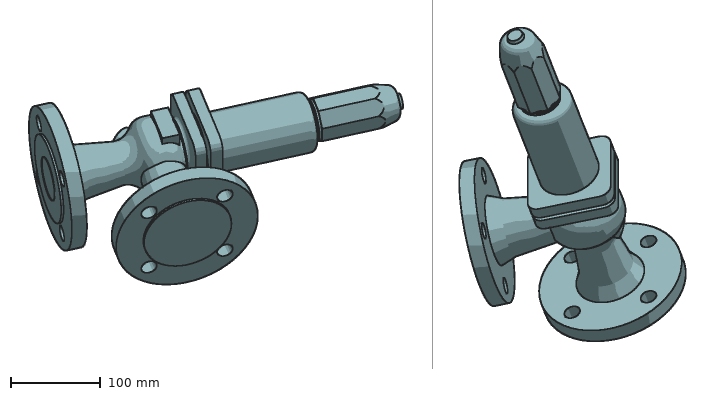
import cadquery as cq
import math


FACE_DISTANCE = 125.0
FLANGE_RADIUS = 82.5
FLANGE_THICKNESS = 17.5
RAISED_FACE_RADIUS = 51.0
RAISED_FACE_HEIGHT = 3.0
BOLT_CIRCLE_RADIUS = 62.5
BOLT_HOLE_DIAMETER = 18.0
BOLT_COUNT = 4
FLANGE_BACK = FACE_DISTANCE - RAISED_FACE_HEIGHT - FLANGE_THICKNESS
INLET_RECESS_RADIUS = 25.0
INLET_RECESS_DEPTH = 1.0

INLET_HUB_RADIUS = 39.5
INLET_PIPE_END_Y = -87.0
INLET_PIPE_END_RADIUS = 31.2
INLET_THROAT_Y = -42.7
INLET_THROAT_RADIUS = 25.0

BODY_RADIUS = 45.0
BODY_LOW_Y = -21.5
BODY_LOW_RADIUS = 36.0
BODY_BAND_LOW_Y = -4.5
BODY_BAND_HIGH_Y = 5.5
BODY_HIGH_Y = 21.8
BODY_HIGH_RADIUS = 38.0
NECK_RADIUS = 35.7
NECK_FLARE_RADIUS = 5.0
NECK_GROOVE_DEPTH = 1.2
NECK_GROOVE_WIDTH = 1.2

OUTLET_HUB_RADIUS = 40.0
OUTLET_PIPE_END_X = 87.0
OUTLET_PIPE_END_RADIUS = 33.3
OUTLET_ROOT_RADIUS = 21.8

PLATE_WIDTH = 96.0
PLATE_CORNER_RADIUS = 13.0
LOWER_PLATE_Y = 32.5
LOWER_PLATE_THICKNESS = 13.0
UPPER_PLATE_Y = 50.0
UPPER_PLATE_THICKNESS = 14.0
JOINT_RADIUS = 38.0
JOINT_RIM_RADIUS = 42.0

BONNET_RADIUS = 34.5
BONNET_TOP_Y = 180.5
BONNET_EDGE_RADIUS = 8.0

CAP_ACROSS_FLATS = 49.0
CAP_SIDES = 8
CAP_NECK_RADIUS = 23.0
CAP_GROOVE_RADIUS = 20.5
CAP_GROOVE_Y = 182.8
CAP_COLLAR_RADIUS = 23.5
CAP_COLLAR_Y = 184.0
CAP_BASE_Y = 187.0
CAP_FLAT_TOP_Y = 260.8
CAP_SHOULDER_Y = 274.5
CAP_SHOULDER_RADIUS = 21.0
CAP_TOP_Y = 281.7
CAP_TOP_RADIUS = 11.5
BUTTON_TOP_Y = 286.0
BUTTON_RADIUS = 10.0
BUTTON_TOP_RADIUS = 8.5

PAD_LENGTH = 43.5
PAD_LOW_Y = 1.5
PAD_HIGH_Y = 21.8
PAD_TOP_Z = 49.0

DRAIN_RADIUS = 15.5
DRAIN_TILT = 32
DRAIN_FACE_X = -33.5
DRAIN_FACE_Y = -29.5
DRAIN_LENGTH = 28.7


def disc_y(radius, start_y, end_y):
    """Round disc on the Y axis between two Y positions."""
    plane = cq.Workplane("XZ", origin=(0, start_y, 0))
    return plane.circle(radius).extrude(start_y - end_y)


def spin_about_y(profile):
    """Full revolution of an XY profile about the Y axis."""
    return profile.close().revolve(360, (0, 0, 0), (0, 1, 0))


def tangent_arc_middle(vertical_end, other_end):
    """Middle of the arc through both ends that runs parallel to Y at vertical_end."""
    dx = other_end[0] - vertical_end[0]
    dy = other_end[1] - vertical_end[1]
    center_x = vertical_end[0] + (dx**2 + dy**2) / (2 * dx)
    start = math.atan2(0, vertical_end[0] - center_x)
    end = math.atan2(dy, other_end[0] - center_x)
    sweep = math.remainder(end - start, 2 * math.pi)
    radius = abs(vertical_end[0] - center_x)
    middle = start + sweep / 2
    return (center_x + radius * math.cos(middle), vertical_end[1] + radius * math.sin(middle))


def make_flange():
    """Inlet flange facing -Y, with raised face and bolt holes."""
    face_y = -FACE_DISTANCE
    rim_y = face_y + RAISED_FACE_HEIGHT
    flange = disc_y(FLANGE_RADIUS, rim_y, -FLANGE_BACK)
    flange = flange.union(disc_y(RAISED_FACE_RADIUS, face_y, rim_y))
    holes = (
        cq.Workplane("XZ", origin=(0, -FLANGE_BACK, 0))
        .polarArray(BOLT_CIRCLE_RADIUS, 180 / BOLT_COUNT, 360, BOLT_COUNT)
        .circle(BOLT_HOLE_DIAMETER / 2)
        .extrude(FLANGE_THICKNESS)
    )
    return flange.cut(holes)


def make_body():
    """Inlet hub, tapered inlet pipe, throat, rounded body and neck in one revolution."""
    throat = (INLET_THROAT_RADIUS, INLET_THROAT_Y)
    body_low = (BODY_LOW_RADIUS, BODY_LOW_Y)
    band_low = (BODY_RADIUS, BODY_BAND_LOW_Y)
    band_high = (BODY_RADIUS, BODY_BAND_HIGH_Y)
    body_high = (BODY_HIGH_RADIUS, BODY_HIGH_Y)
    groove_top_y = LOWER_PLATE_Y - NECK_FLARE_RADIUS
    groove_bottom_y = groove_top_y - NECK_GROOVE_WIDTH
    groove_radius = NECK_RADIUS - NECK_GROOVE_DEPTH
    neck_low = (NECK_RADIUS, groove_bottom_y)
    neck_high = (NECK_RADIUS, groove_top_y)
    flare_end = (NECK_RADIUS + NECK_FLARE_RADIUS, LOWER_PLATE_Y)
    profile = (
        cq.Workplane("XY")
        .moveTo(0, -FLANGE_BACK)
        .lineTo(INLET_HUB_RADIUS, -FLANGE_BACK)
        .lineTo(INLET_PIPE_END_RADIUS, INLET_PIPE_END_Y)
        .lineTo(*throat)
        .threePointArc(tangent_arc_middle(throat, body_low), body_low)
        .threePointArc(tangent_arc_middle(band_low, body_low), band_low)
        .lineTo(*band_high)
        .threePointArc(tangent_arc_middle(band_high, body_high), body_high)
        .threePointArc(tangent_arc_middle(neck_low, body_high), neck_low)
        .lineTo(groove_radius, groove_bottom_y)
        .lineTo(groove_radius, groove_top_y)
        .lineTo(*neck_high)
        .threePointArc(tangent_arc_middle(neck_high, flare_end), flare_end)
        .lineTo(0, LOWER_PLATE_Y)
    )
    return spin_about_y(profile)


def make_outlet_pipe():
    """Tapered outlet pipe and hub, from the spindle axis to the outlet flange."""
    return (
        cq.Workplane("XY")
        .lineTo(0, OUTLET_ROOT_RADIUS)
        .lineTo(OUTLET_PIPE_END_X, OUTLET_PIPE_END_RADIUS)
        .lineTo(FLANGE_BACK, OUTLET_HUB_RADIUS)
        .lineTo(FLANGE_BACK, 0)
        .close()
        .revolve(360, (0, 0, 0), (1, 0, 0))
    )


def make_plate(start_y, thickness):
    """Square plate with rounded corners."""
    return (
        cq.Workplane("XZ", origin=(0, start_y, 0))
        .rect(PLATE_WIDTH, PLATE_WIDTH)
        .extrude(-thickness)
        .edges("|Y")
        .fillet(PLATE_CORNER_RADIUS)
    )


def make_joint():
    """Sharp-rimmed ring filling the gap between the two plates."""
    low_y = LOWER_PLATE_Y + LOWER_PLATE_THICKNESS
    profile = (
        cq.Workplane("XY")
        .moveTo(0, low_y)
        .lineTo(JOINT_RADIUS, low_y)
        .lineTo(JOINT_RIM_RADIUS, (low_y + UPPER_PLATE_Y) / 2)
        .lineTo(JOINT_RADIUS, UPPER_PLATE_Y)
        .lineTo(0, UPPER_PLATE_Y)
    )
    return spin_about_y(profile)


def make_bonnet():
    """Spring bonnet with a rounded top edge."""
    bonnet = disc_y(BONNET_RADIUS, UPPER_PLATE_Y + UPPER_PLATE_THICKNESS, BONNET_TOP_Y)
    return bonnet.faces(">Y").edges().fillet(BONNET_EDGE_RADIUS)


def make_cap():
    """Octagonal cap with a turned, domed end, its neck and its end button."""
    corner_radius = CAP_ACROSS_FLATS / 2 / math.cos(math.pi / CAP_SIDES)
    taper = (CAP_ACROSS_FLATS / 2 - CAP_SHOULDER_RADIUS) / (CAP_SHOULDER_Y - CAP_FLAT_TOP_Y)
    cone_base_radius = CAP_SHOULDER_RADIUS + taper * (CAP_SHOULDER_Y - CAP_BASE_Y)

    octagon = (
        cq.Workplane("XZ", origin=(0, CAP_BASE_Y, 0))
        .transformed(rotate=(0, 0, 180 / CAP_SIDES))
        .polygon(CAP_SIDES, 2 * corner_radius)
        .extrude(CAP_BASE_Y - CAP_TOP_Y)
    )
    turned = (
        cq.Workplane("XY")
        .moveTo(0, CAP_BASE_Y)
        .lineTo(cone_base_radius, CAP_BASE_Y)
        .lineTo(CAP_SHOULDER_RADIUS, CAP_SHOULDER_Y)
        .tangentArcPoint((CAP_TOP_RADIUS, CAP_TOP_Y), relative=False)
        .lineTo(0, CAP_TOP_Y)
    )
    button = (
        cq.Workplane("XY")
        .moveTo(0, CAP_TOP_Y)
        .lineTo(BUTTON_RADIUS, CAP_TOP_Y)
        .lineTo(BUTTON_TOP_RADIUS, BUTTON_TOP_Y)
        .lineTo(0, BUTTON_TOP_Y)
    )
    return (
        octagon.intersect(spin_about_y(turned))
        .union(spin_about_y(button))
        .union(disc_y(CAP_NECK_RADIUS, BONNET_TOP_Y, CAP_GROOVE_Y))
        .union(disc_y(CAP_GROOVE_RADIUS, CAP_GROOVE_Y, CAP_COLLAR_Y))
        .union(disc_y(CAP_COLLAR_RADIUS, CAP_COLLAR_Y, CAP_BASE_Y))
    )


def make_pad():
    """Flat pad for the name plate, rising from the body axis."""
    pad_width = PAD_HIGH_Y - PAD_LOW_Y
    pad = cq.Workplane("XY", origin=(0, PAD_LOW_Y, 0))
    return pad.box(PAD_LENGTH, pad_width, PAD_TOP_Z, centered=(True, False, False))


def make_drain_boss():
    """Short leaning cylinder, running from its flat outer face back into the body."""
    tilt = math.radians(DRAIN_TILT)
    inward = (math.cos(tilt), math.sin(tilt), 0)
    plane = cq.Plane(origin=(DRAIN_FACE_X, DRAIN_FACE_Y, 0), xDir=(0, 0, 1), normal=inward)
    return cq.Workplane(plane).circle(DRAIN_RADIUS).extrude(DRAIN_LENGTH)


inlet_flange = make_flange()
outlet_flange = inlet_flange.rotate((0, 0, 0), (0, 0, 1), 90)
inlet_recess = disc_y(INLET_RECESS_RADIUS, -FACE_DISTANCE, -FACE_DISTANCE + INLET_RECESS_DEPTH)

result = make_body()
for piece in (
    make_outlet_pipe(),
    inlet_flange,
    outlet_flange,
    make_plate(LOWER_PLATE_Y, LOWER_PLATE_THICKNESS),
    make_joint(),
    make_plate(UPPER_PLATE_Y, UPPER_PLATE_THICKNESS),
    make_bonnet(),
    make_cap(),
    make_pad(),
    make_drain_boss(),
):
    result = result.union(piece)
result = result.cut(inlet_recess)